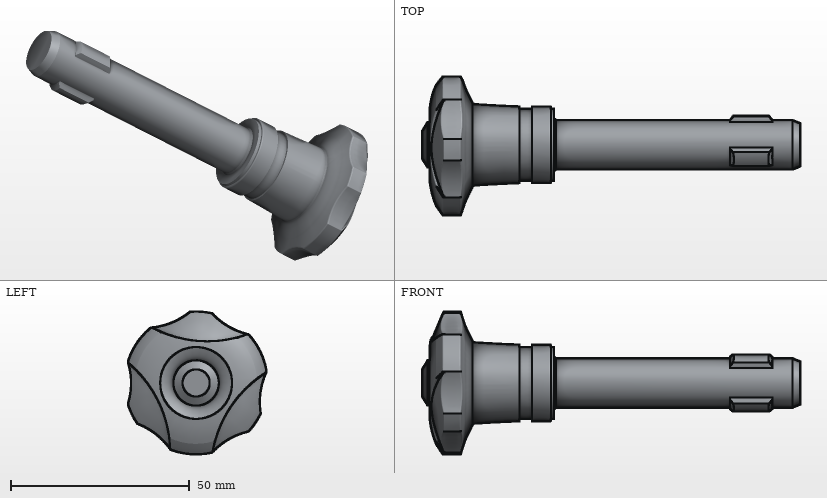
import cadquery as cq
import math


total_length = 105.8

button_face_radius = 3.8
button_radius = 6.35
button_bevel_end_x = 1.6
recess_floor_x = 3.6

recess_radius = 10.05
recess_rim_x = 2.1
dome_mid_radius = 14.3
dome_mid_x = 2.95
dome_radius = 17.1
dome_end_x = 3.95
knob_radius = 20.0
rim_front_x = 5.86
rim_back_x = 10.85
rim_front_round = 0.3
rim_back_round = 0.4

back_mid_x = 12.2
back_mid_radius = 15.7
neck_start_x = 14.3
neck_start_radius = 11.42
neck_mid_radius = 11.03
neck_root_round = 0.5
neck_end_x = 27.25
neck_end_radius = 10.75

groove_radius = 10.12
groove_end_x = 30.7
collar_radius = 10.75
collar_edge_round = 0.3
collar_end_x = 36.0
step_radius = 10.1
step_end_x = 36.9

shank_radius = 6.95
shank_root_radius = 7.3
shank_start_x = 37.45
tip_radius = 6.0
tip_bevel_length = 2.3

lobe_pair_count = 3
star_twist = 4.0
scallop_offset_angle = 26.0
scallop_radius = 20.0
scallop_bottom_radius = 18.2
slope_start_radius = 11.75
slope_start_x = 2.65
slope_mid_radius = 16.2
slope_mid_x = 4.45
slope_end_x = 6.1
slope_wall_radius = 33.0
slope_edge_round = 0.25

slope_angles = [star_twist + index * 360 / lobe_pair_count for index in range(lobe_pair_count)]

tolerance = 0.02
wall_end_length = 5.0

pawl_count = 3
first_pawl_angle = -90.0
pawl_center_x = 92.0
pawl_outer_radius = 8.25
pawl_length = 11.9
pawl_top_length = 9.6
pawl_top_width = 4.2
pawl_end_slope = 40.0
pawl_side_slope = 20.0


def make_turned_body():
    """Button, knob, neck, collar and shank as one revolved profile."""
    profile = (
        cq.Workplane("XY")
        .moveTo(0, 0)
        .lineTo(0, button_face_radius)
        .lineTo(button_bevel_end_x, button_radius)
        .lineTo(recess_floor_x, button_radius)
        .lineTo(recess_rim_x, recess_radius)
        .threePointArc((dome_mid_x, dome_mid_radius), (dome_end_x, dome_radius))
        .lineTo(rim_front_x, knob_radius)
        .lineTo(rim_back_x, knob_radius)
        .threePointArc((back_mid_x, back_mid_radius), (neck_start_x, neck_start_radius))
        .threePointArc(
            ((neck_start_x + neck_end_x) / 2, neck_mid_radius),
            (neck_end_x, neck_end_radius),
        )
        .lineTo(neck_end_x, groove_radius)
        .lineTo(groove_end_x, groove_radius)
        .lineTo(groove_end_x, collar_radius)
        .lineTo(collar_end_x - collar_edge_round, collar_radius)
        .radiusArc((collar_end_x, collar_radius - collar_edge_round), collar_edge_round)
        .lineTo(collar_end_x, step_radius)
        .lineTo(step_end_x, step_radius)
        .lineTo(step_end_x, shank_root_radius)
        .lineTo(shank_start_x, shank_radius)
        .lineTo(total_length - tip_bevel_length, shank_radius)
        .lineTo(total_length, tip_radius)
        .lineTo(total_length, 0)
        .close()
    )
    return profile.revolve(360, (0, 0, 0), (1, 0, 0))


def turn_about_pin(shape, angle):
    """Turn a shape about the pin axis, from +Z towards -Y."""
    return shape.rotate((0, 0, 0), (1, 0, 0), angle)


def make_scallop_cutter():
    """Cylinder parallel to the pin, set above it, that hollows the knob rim."""
    return (
        cq.Workplane("YZ")
        .center(0, scallop_bottom_radius + scallop_radius)
        .circle(scallop_radius)
        .extrude(neck_start_x)
    )


def make_slope_cutter():
    """Space in front of a lowered dome, kept inside the curved wall of one lobe."""
    lowered_dome = (
        cq.Workplane("XY")
        .moveTo(0, slope_start_radius / 2)
        .lineTo(slope_start_x, slope_start_radius / 2)
        .lineTo(slope_start_x, slope_start_radius)
        .threePointArc((slope_mid_x, slope_mid_radius), (slope_end_x, knob_radius))
        .lineTo(slope_end_x, slope_wall_radius)
        .lineTo(0, slope_wall_radius)
        .close()
        .revolve(360, (0, 0, 0), (1, 0, 0))
    )
    wall = (
        cq.Workplane("YZ")
        .center(0, slope_start_radius + slope_wall_radius)
        .circle(slope_wall_radius)
        .extrude(slope_end_x)
    )
    return wall.intersect(lowered_dome)


def cut_slopes(body):
    """Lower every second lobe of the knob face."""
    slope = make_slope_cutter()
    for lobe_angle in slope_angles:
        body = body.cut(turn_about_pin(slope, lobe_angle))
    return body


def cut_scallops(body):
    """Hollow the rim on both sides of each sloped lobe."""
    scallop = make_scallop_cutter()
    for lobe_angle in slope_angles:
        for side in (-1, 1):
            body = body.cut(turn_about_pin(scallop, lobe_angle + side * scallop_offset_angle))
    return body


def round_edges(body, radius, is_wanted):
    """Fillet the edges chosen by station, distance from the pin axis (at mid-edge) and length."""
    wanted = []
    for edge in body.edges().vals():
        middle = edge.positionAt(0.5)
        if is_wanted(middle.x, math.hypot(middle.y, middle.z), edge.Length()):
            wanted.append(edge)
    return body.newObject(wanted).fillet(radius)


def is_slope_top_edge(x, distance, length):
    """Ridge between the dome and the curved wall of a sloped lobe."""
    above_floor = x < slope_start_x - slope_edge_round / 2
    return above_floor and abs(distance - slope_start_radius) < tolerance


def is_front_rim_edge(x, distance, length):
    """Front outline of the rim, without the short ends of the slope walls."""
    on_rim = distance > scallop_bottom_radius - tolerance
    return dome_end_x < x < slope_end_x + tolerance and on_rim and length > wall_end_length


def is_back_rim_edge(x, distance, length):
    """Back outline of the rim."""
    return rim_back_x - tolerance < x < back_mid_x and distance > back_mid_radius


def is_neck_root_edge(x, distance, length):
    """Circle where the back of the knob meets the neck."""
    return abs(x - neck_start_x) < tolerance and abs(distance - neck_start_radius) < tolerance


def make_pawl():
    """Tapered block with a cylindrical top, standing on the +Z side of the shank."""
    base_z = shank_radius / 2
    height = pawl_outer_radius - base_z
    end_spread = height * math.tan(math.radians(pawl_end_slope))
    side_spread = height * math.tan(math.radians(pawl_side_slope))
    block = (
        cq.Workplane("XY")
        .workplane(offset=base_z)
        .center(pawl_center_x, 0)
        .rect(pawl_top_length + 2 * end_spread, pawl_top_width + 2 * side_spread)
        .workplane(offset=height)
        .rect(pawl_top_length, pawl_top_width)
        .loft()
    )
    envelope = (
        cq.Workplane("YZ")
        .workplane(offset=pawl_center_x - pawl_length / 2)
        .circle(pawl_outer_radius)
        .extrude(pawl_length)
    )
    return block.intersect(envelope)


def add_pawls(body):
    """Three pawls around the shank, the first one facing +Y."""
    pawl = make_pawl()
    for index in range(pawl_count):
        body = body.union(turn_about_pin(pawl, first_pawl_angle + index * 360 / pawl_count))
    return body


body = make_turned_body()
body = cut_slopes(body)
body = round_edges(body, slope_edge_round, is_slope_top_edge)
body = cut_scallops(body)
body = round_edges(body, rim_front_round, is_front_rim_edge)
body = round_edges(body, rim_back_round, is_back_rim_edge)
body = round_edges(body, neck_root_round, is_neck_root_edge)
result = add_pawls(body)